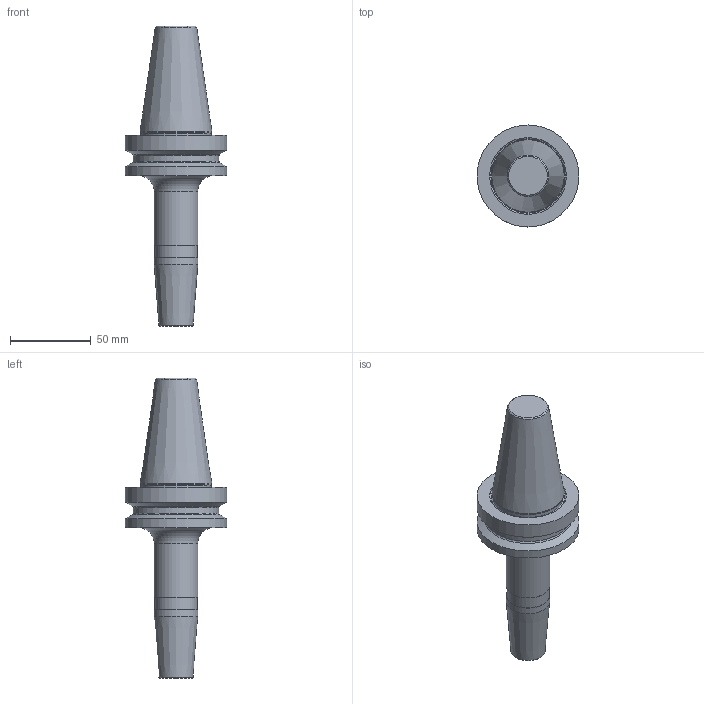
import cadquery as cq
import math


gauge_radius = 44.45 / 2
taper_height = 65.4
taper_slope = 7 / 48
taper_tip_radius = gauge_radius - taper_slope * taper_height
tip_chamfer = 0.7

taper_base_z = -0.5
neck_radius = 21.7
recess_radius = 23.7
recess_depth = 2.0
recess_fillet = 0.75
recess_fillet_inset = recess_fillet * (1 - math.sqrt(0.5))

flange_radius = 63 / 2
flange_top_z = -2.0
flange_bottom_z = -27.0
recess_floor_z = flange_top_z - recess_depth
groove_mid_z = -16.45
groove_floor_width = 4.6
groove_floor_radius = 53 / 2
groove_corner_radius = 1.2
groove_flank_angle = 30
groove_flank_height = (flange_radius - groove_floor_radius) * math.tan(math.radians(groove_flank_angle))
groove_floor_top_z = groove_mid_z + groove_floor_width / 2
groove_floor_bottom_z = groove_mid_z - groove_floor_width / 2

shank_radius = 27 / 2
shank_fillet = 10.0
shank_end_z = -70.0
band_radius = 13.2
band_end_z = -77.7
nose_end_z = -120.0
nose_end_radius = 21 / 2
nose_angle = 4.5
nose_chamfer = 0.6
nose_slope = math.tan(math.radians(nose_angle))
cone_start_z = nose_end_z + (shank_radius - nose_end_radius) / nose_slope


def turned_profile():
    """Half section in the XZ plane, drawn from the taper tip down to the nose."""
    fillet_centre_x = shank_radius + shank_fillet
    fillet_centre_z = flange_bottom_z - shank_fillet
    fillet_reach = shank_fillet * math.sqrt(0.5)
    return (
        cq.Workplane("XZ")
        .moveTo(0, taper_height)
        .lineTo(taper_tip_radius - tip_chamfer, taper_height)
        .lineTo(taper_tip_radius + taper_slope * tip_chamfer, taper_height - tip_chamfer)
        .lineTo(gauge_radius, 0)
        .lineTo(gauge_radius, taper_base_z)
        .lineTo(neck_radius, taper_base_z - (gauge_radius - neck_radius))
        .lineTo(neck_radius, recess_floor_z + recess_fillet)
        .threePointArc(
            (neck_radius + recess_fillet_inset, recess_floor_z + recess_fillet_inset),
            (neck_radius + recess_fillet, recess_floor_z),
        )
        .lineTo(recess_radius - recess_fillet, recess_floor_z)
        .threePointArc(
            (recess_radius - recess_fillet_inset, recess_floor_z + recess_fillet_inset),
            (recess_radius, recess_floor_z + recess_fillet),
        )
        .lineTo(recess_radius, flange_top_z)
        .lineTo(flange_radius, flange_top_z)
        .lineTo(flange_radius, groove_floor_top_z + groove_flank_height)
        .lineTo(groove_floor_radius, groove_floor_top_z)
        .lineTo(groove_floor_radius, groove_floor_bottom_z)
        .lineTo(flange_radius, groove_floor_bottom_z - groove_flank_height)
        .lineTo(flange_radius, flange_bottom_z)
        .lineTo(fillet_centre_x, flange_bottom_z)
        .threePointArc(
            (fillet_centre_x - fillet_reach, fillet_centre_z + fillet_reach),
            (shank_radius, fillet_centre_z),
        )
        .lineTo(shank_radius, shank_end_z)
        .lineTo(band_radius, shank_end_z)
        .lineTo(band_radius, band_end_z)
        .lineTo(shank_radius, band_end_z)
        .lineTo(shank_radius, cone_start_z)
        .lineTo(nose_end_radius + nose_slope * nose_chamfer, nose_end_z + nose_chamfer)
        .lineTo(nose_end_radius - nose_chamfer, nose_end_z)
        .lineTo(0, nose_end_z)
        .close()
    )


def round_groove_corners(body):
    """Fillet the two circular edges at the floor of the gripper groove."""
    reach = 2 * groove_floor_radius
    margin = groove_flank_height / 2
    floor_edges = cq.selectors.BoxSelector(
        (-reach, -reach, groove_floor_bottom_z - margin),
        (reach, reach, groove_floor_top_z + margin),
        boundingbox=True,
    )
    return body.edges("%CIRCLE").edges(floor_edges).fillet(groove_corner_radius)


turned_body = turned_profile().revolve(360, (0, 0, 0), (0, 1, 0))
result = round_groove_corners(turned_body)